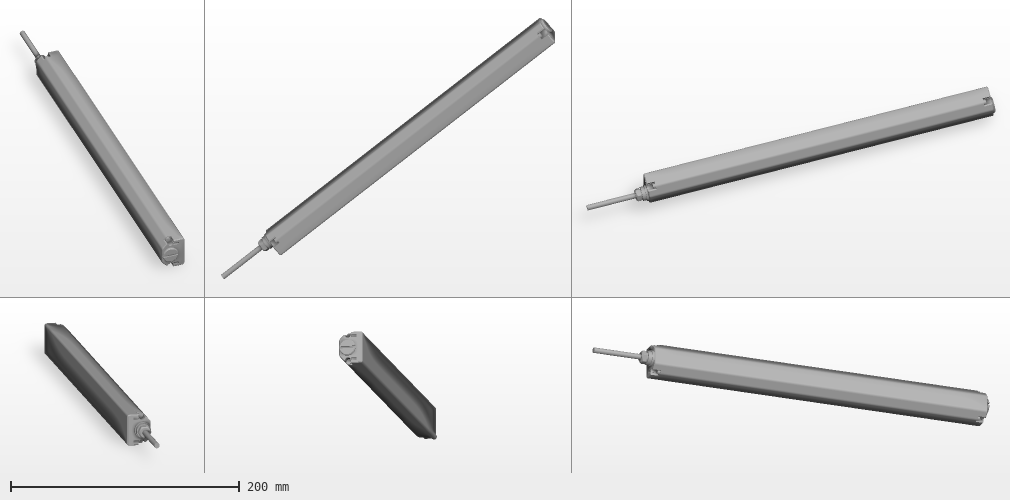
import cadquery as cq
import math


CABLE_START = -184.2
NUT_START = -140.5
NECK_START = -136.0
COLLAR_START = -135.0
FLANGE_START = -131.5
BAR_START = -129.7
SLEEVE_START = -117.0
SLEEVE_END = 169.0
BAR_END = 182.5
PLUG_END = 184.2

DEPTH = 21.0
HEIGHT = 28.0
FRONT_BEVEL = 6.5
BEVEL_EDGE_RADIUS = 3.15
BACK_EDGE_RADIUS = 2.0
SLEEVE_WALL = 2.0
END_CHAMFER = 0.7

AXIS_Y = -3.0
CABLE_DIAMETER = 4.8
NUT_ACROSS_FLATS = 10.5
NUT_TURNED_DIAMETER = 11.8
NUT_CHAMFER = 1.5
NECK_DIAMETER = 9.5
COLLAR_DIAMETER = 12.5
FLANGE_DIAMETER = 14.5
PLUG_CHAMFER = 0.7
PLUG_SLOT_WIDTH = 2.0
PLUG_SLOT_DEPTH = 1.5

NOTCH_LENGTH = 7.5
NOTCH_DEPTH = 2.5
NOTCH_BACK_Y = 0.5
NOTCH_FLOOR_Z = HEIGHT / 2 - NOTCH_DEPTH
SCREW_Y = -2.5
SCREW_CHANNEL_DIAMETER = 5.0
SCREW_HEAD_DIAMETER = 4.5
SCREW_HEAD_LENGTH = 2.2

END_SLOT_LENGTH = 4.8
END_SLOT_HEIGHT = 2.2
END_SLOT_DEPTH = 2.2


def bar(start, end, inset=0.0):
    """Stretch of the bar profile, with its outline moved inward by the inset."""
    front = -DEPTH / 2
    back = DEPTH / 2
    top = HEIGHT / 2
    outline = [
        (back, top),
        (front + FRONT_BEVEL, top),
        (front, top - FRONT_BEVEL),
        (front, FRONT_BEVEL - top),
        (front + FRONT_BEVEL, -top),
        (back, -top),
    ]
    profile = cq.Workplane("YZ", origin=(start, 0, 0)).polyline(outline).close()
    if inset:
        return profile.offset2D(-inset, "intersection").extrude(end - start)
    solid = profile.extrude(end - start)
    solid = solid.edges("|X and (not >Y)").fillet(BEVEL_EDGE_RADIUS)
    return solid.edges("|X and >Y").fillet(BACK_EDGE_RADIUS)


def rod(start, end, diameter, y=AXIS_Y, z=0.0):
    """Cylinder along X."""
    return cq.Workplane("YZ", origin=(start, y, z)).circle(diameter / 2).extrude(end - start)


def block(x_range, y_range, z_range):
    """Box between two values on each axis."""
    sizes = [abs(high - low) for low, high in (x_range, y_range, z_range)]
    middle = tuple((low + high) / 2 for low, high in (x_range, y_range, z_range))
    return cq.Workplane("XY").box(*sizes).translate(middle)


def sleeve():
    outer = bar(SLEEVE_START, SLEEVE_END)
    return outer.cut(bar(SLEEVE_START, SLEEVE_END, SLEEVE_WALL))


def gland():
    """Hexagonal nut with two level flats, then a neck, a round collar and a flange."""
    nut = (
        cq.Workplane("YZ", origin=(NUT_START, AXIS_Y, 0))
        .polygon(6, NUT_ACROSS_FLATS / math.cos(math.pi / 6))
        .extrude(NECK_START - NUT_START)
    )
    turned_blank = rod(NUT_START, NECK_START, NUT_TURNED_DIAMETER).faces("<X").chamfer(NUT_CHAMFER)
    nut = nut.intersect(turned_blank)
    neck = rod(NECK_START, COLLAR_START, NECK_DIAMETER)
    collar = rod(COLLAR_START, FLANGE_START, COLLAR_DIAMETER)
    flange = rod(FLANGE_START, BAR_START, FLANGE_DIAMETER)
    return nut.union(neck).union(collar).union(flange)


def plug():
    """Blind plug with a level screwdriver slot."""
    disc = rod(BAR_END, PLUG_END, FLANGE_DIAMETER).faces(">X").chamfer(PLUG_CHAMFER)
    half_slot = PLUG_SLOT_WIDTH / 2
    slot = block((PLUG_END - PLUG_SLOT_DEPTH, PLUG_END), (-DEPTH, DEPTH), (-half_slot, half_slot))
    return disc.cut(slot)


def add_screw_notch(cap, end_x, inward, side):
    """Cut a screw notch and the slot behind it, and put the screw head at the notch's inner end."""
    inner_x = end_x + inward * NOTCH_LENGTH
    floor_z = side * NOTCH_FLOOR_Z
    low_x, high_x = sorted((end_x, inner_x))
    step = block((low_x, high_x), (-DEPTH, NOTCH_BACK_Y), (floor_z, side * HEIGHT))
    channel = rod(low_x, high_x, SCREW_CHANNEL_DIAMETER, SCREW_Y, floor_z)
    end_slot = block(
        (end_x, end_x + inward * END_SLOT_DEPTH),
        (NOTCH_BACK_Y, NOTCH_BACK_Y + END_SLOT_LENGTH),
        (floor_z, floor_z - side * END_SLOT_HEIGHT),
    )
    head_start, head_end = sorted((inner_x, inner_x - inward * SCREW_HEAD_LENGTH))
    head = rod(head_start, head_end, SCREW_HEAD_DIAMETER, SCREW_Y, floor_z)
    return cap.cut(step).cut(channel).cut(end_slot).union(head)


def insert():
    left_cap = bar(BAR_START, SLEEVE_START).edges("<X and >Y").chamfer(END_CHAMFER)
    right_cap = bar(SLEEVE_END, BAR_END).faces(">X").chamfer(END_CHAMFER)
    for side in (1, -1):
        left_cap = add_screw_notch(left_cap, BAR_START, 1, side)
        right_cap = add_screw_notch(right_cap, BAR_END, -1, side)
    core = bar(SLEEVE_START, SLEEVE_END, SLEEVE_WALL)
    cable = rod(CABLE_START, NUT_START, CABLE_DIAMETER)
    return core.union(left_cap).union(right_cap).union(gland()).union(cable).union(plug())


result = cq.Compound.makeCompound([sleeve().val(), insert().val()])